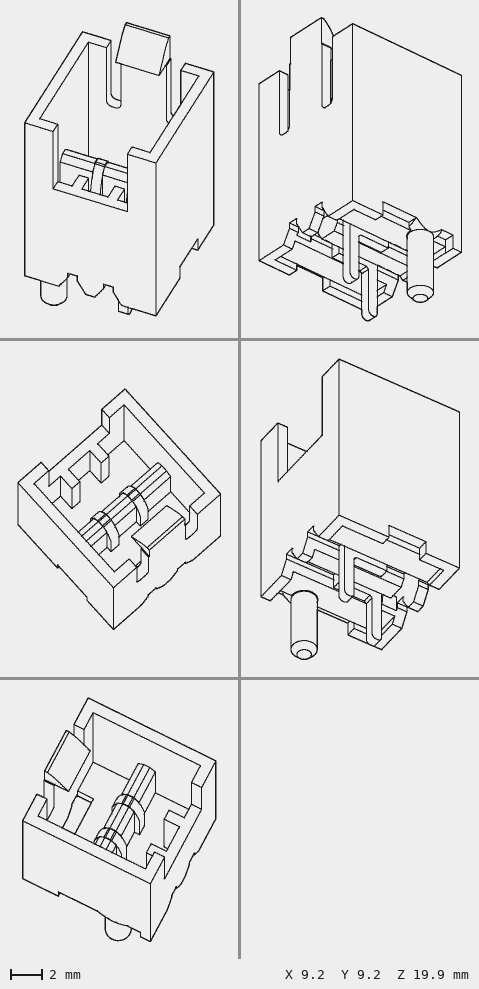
import cadquery as cq

SIDE = 9.2
HOUSING_H = 13.6
TOTAL_H = 19.9
LATCH_TOP = 15.6
WALL = 0.74
FLOOR_BOTTOM = 0.48
FLOOR_TOP = 1.99

OPENING_W = 5.2
OPENING_BOTTOM = 8.5
SLOT_FILLET = 0.4

ARM_W = 3.18
HOOK_W = 3.05
HOOK_REACH = 1.73
HOOK_KNEE = (0.72, 15.12)
HOOK_TIP_LAND = 0.22
HOOK_HOLE_W = 3.4
HOOK_HOLE_FRONT_Y = 2.73

PITCH = 2.5
CONTACT_W = 0.68
BLADE_HALF = 1.0
FOOT_BOTTOM = 0.28
FOOT_TOP = 1.4
TAIL_INNER = 1.5
TAIL_OUTER = 2.23
TAIL_BOTTOM = -3.3
TAIL_ROUND = 0.34
BEND_CHAMFER = 0.15
SHOULDER_FILLET = 0.08
TIP_PROFILE = [(BLADE_HALF, 5.17), (0.92, 5.61), (0.74, 6.39), (0.28, 7.32), (0.18, 7.4)]

BAR_HALF = 0.62
BAR_TOP = 7.28
BAR_CHAMFER = 0.4

RIB_LENGTH = 1.1

GROOVE_HALF = 0.94
GROOVE_APEX = 0.98
RELIEF_H = 1.01
RELIEF_BACK_Y = 2.03
RELIEF_MID_Y = -0.78
RELIEF_FRONT_Y = -3.88

PEG_D = 1.7
PEG_Y = -1.85
PEG_CHAMFER_R = 0.38
PEG_CHAMFER_H = 0.44
CONE_TOP_R = 1.35
CONE_BOTTOM = 0.44

HALF = SIDE / 2
INNER = HALF - WALL
PEG_R = PEG_D / 2
PEG_X = PEG_R - HALF
PEG_BOTTOM = LATCH_TOP - TOTAL_H
CONTACT_XS = (-PITCH / 2, PITCH / 2)


def block(x0, x1, y0, y1, z0, z1):
    """Box between two opposite corners."""
    return cq.Workplane("XY").box(x1 - x0, y1 - y0, z1 - z0, centered=False).translate((x0, y0, z0))


def centred_block(x, width, y0, y1, z0, z1):
    """Box of the given X width, centred on x."""
    return block(x - width / 2, x + width / 2, y0, y1, z0, z1)


def extrude_yz(points, x, width):
    """Extrude a closed (y, z) outline along X, centred on x."""
    outline = cq.Workplane("YZ", origin=(x - width / 2, 0, 0)).polyline(points).close()
    return outline.extrude(width)


def make_shell():
    """Square tube with a floor, hollow below the floor."""
    shell = centred_block(0, SIDE, -HALF, HALF, 0, HOUSING_H)
    cavity = centred_block(0, 2 * INNER, -INNER, INNER, FLOOR_TOP, HOUSING_H)
    underside = centred_block(0, 2 * INNER, -INNER, INNER, 0, FLOOR_BOTTOM)
    return shell.cut(cavity).cut(underside)


def make_wall_openings():
    """Front opening and the two round-bottomed slots beside the latch arm."""
    openings = centred_block(0, OPENING_W, -HALF, -INNER, OPENING_BOTTOM, HOUSING_H)
    slot_w = (OPENING_W - ARM_W) / 2
    slot_x = (OPENING_W + ARM_W) / 4
    for x in (-slot_x, slot_x):
        slot = centred_block(x, slot_w, INNER, HALF, OPENING_BOTTOM, HOUSING_H)
        openings = openings.union(slot.edges("|Y and <Z").fillet(SLOT_FILLET))
    return openings


def make_hook():
    """Ramped hook on top of the latch arm."""
    knee_reach, knee_z = HOOK_KNEE
    points = [
        (HALF, HOUSING_H),
        (HALF, LATCH_TOP),
        (HALF - HOOK_TIP_LAND, LATCH_TOP),
        (HALF - knee_reach, knee_z),
        (HALF - HOOK_REACH, HOUSING_H),
    ]
    return extrude_yz(points, 0, HOOK_W)


def make_bar():
    """Chamfered bar across the cavity, slotted where the contacts pass."""
    bar = centred_block(0, 2 * INNER, -BAR_HALF, BAR_HALF, FLOOR_TOP, BAR_TOP)
    bar = bar.edges("|X and >Z").chamfer(BAR_CHAMFER)
    for x in CONTACT_XS:
        bar = bar.cut(centred_block(x, CONTACT_W, -BAR_HALF, BAR_HALF, FLOOR_TOP, BAR_TOP))
    return bar


def make_rib(x):
    """Polarizing rib standing on the floor against the front wall."""
    return centred_block(x, CONTACT_W, -INNER, RIB_LENGTH - INNER, FLOOR_TOP, OPENING_BOTTOM)


def make_groove(x):
    """V groove with a narrow slot above it, running from front to back."""
    points = [
        (x - GROOVE_HALF, 0),
        (x - CONTACT_W / 2, GROOVE_APEX),
        (x - CONTACT_W / 2, FOOT_TOP),
        (x + CONTACT_W / 2, FOOT_TOP),
        (x + CONTACT_W / 2, GROOVE_APEX),
        (x + GROOVE_HALF, 0),
    ]
    return cq.Workplane("XZ", origin=(0, HALF, 0)).polyline(points).close().extrude(SIDE)


def make_contact(x, tail_side):
    """Flat contact: tapering blade, foot under the floor and an offset solder tail.

    tail_side is +1 for a tail toward +Y and -1 for a tail toward -Y.
    """
    back_half = [(BLADE_HALF, FOOT_BOTTOM)] + TIP_PROFILE
    front_half = [(-y, z) for y, z in reversed(back_half)]
    blade = extrude_yz(back_half + front_half, x, CONTACT_W)

    foot_and_tail = [
        (0, FOOT_BOTTOM),
        (0, FOOT_TOP),
        (TAIL_OUTER, FOOT_TOP),
        (TAIL_OUTER, TAIL_BOTTOM),
        (TAIL_INNER, TAIL_BOTTOM),
        (TAIL_INNER, FOOT_BOTTOM),
    ]
    foot = extrude_yz(foot_and_tail, x, CONTACT_W)
    foot = foot.edges("|X and <Z").fillet(TAIL_ROUND)
    bend = cq.selectors.NearestToPointSelector((x, TAIL_INNER, FOOT_BOTTOM))
    foot = foot.edges("|X").edges(bend).chamfer(BEND_CHAMFER)
    shoulder = cq.selectors.NearestToPointSelector((x, TAIL_OUTER, FOOT_TOP))
    foot = foot.edges("|X").edges(shoulder).fillet(SHOULDER_FILLET)
    if tail_side < 0:
        foot = foot.mirror("XZ")
    return blade.union(foot)


def make_peg():
    """Locating peg with a chamfered end and a conical root trimmed at the housing side."""
    points = [
        (0, PEG_BOTTOM),
        (PEG_R - PEG_CHAMFER_R, PEG_BOTTOM),
        (PEG_R, PEG_BOTTOM + PEG_CHAMFER_H),
        (PEG_R, CONE_BOTTOM),
        (CONE_TOP_R, RELIEF_H),
        (0, RELIEF_H),
    ]
    profile = cq.Workplane("XZ", origin=(PEG_X, PEG_Y, 0)).polyline(points).close()
    peg = profile.revolve(360, (0, 0, 0), (0, 1, 0))
    return peg.intersect(block(-HALF, 0, -HALF, RELIEF_MID_Y, PEG_BOTTOM, RELIEF_H))


housing = make_shell().cut(make_wall_openings())
housing = housing.cut(centred_block(0, HOOK_HOLE_W, HOOK_HOLE_FRONT_Y, INNER, FLOOR_BOTTOM, FLOOR_TOP))
housing = housing.cut(block(-HALF, -INNER, RELIEF_FRONT_Y, RELIEF_BACK_Y, 0, RELIEF_H))
housing = housing.cut(block(INNER, HALF, RELIEF_MID_Y, RELIEF_BACK_Y, 0, RELIEF_H))
housing = housing.union(make_hook()).union(make_bar())
for contact_x in CONTACT_XS:
    housing = housing.union(make_rib(contact_x)).cut(make_groove(contact_x))

result = housing.union(make_peg())
for contact_x, side in zip(CONTACT_XS, (1, -1)):
    result = result.union(make_contact(contact_x, side))